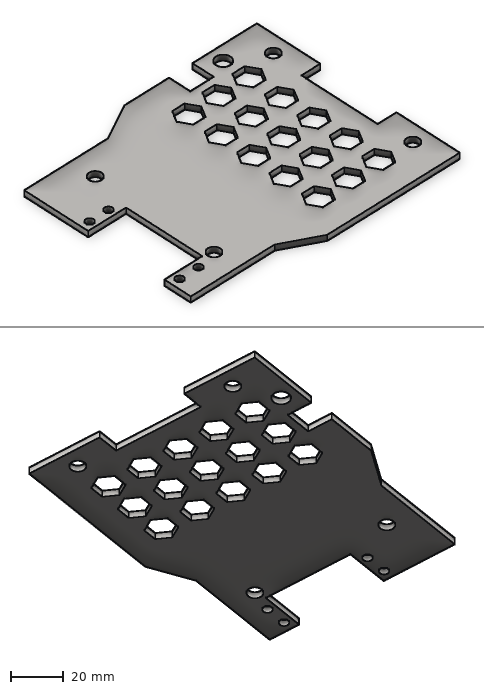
import cadquery as cq

length = 133.0
upper_width = 109.2
lower_width = 89.6
thickness = 3.0
taper_start_y = 44.4
taper_end_y = 62.8

notch_width = 41.0
top_notch_depth = 10.0
bottom_notch_depth = 20.1
bottom_notch_center_x = 10.1
side_notch_depth = 11.5
side_notch_bottom_y = 86.5
side_notch_top_y = 98.8

mount_diameter = 6.4
top_mount_spacing = 75.0
top_mount_y = 124.9
bottom_mount_spacing = 63.8
bottom_mount_y = 25.0
side_hole_diameter = 7.5
side_hole_center = (-47.5, 108.1)
pin_diameter = 4.0
pin_spacing_x = 48.4
pin_spacing_y = 10.0
pin_center_y = 9.5

hex_across_corners = 13.0
hex_sides = 6
hex_columns = 5
hex_rows = 3
hex_pitch_x = 17.4
hex_pitch_y = 16.0
hex_grid_center = (1.0, 92.5)


def plate_outline():
    """Wide rectangle tapering symmetrically to a narrower one."""
    right_side = [
        (lower_width / 2, 0),
        (lower_width / 2, taper_start_y),
        (upper_width / 2, taper_end_y),
        (upper_width / 2, length),
    ]
    left_side = [(-x, y) for x, y in reversed(right_side)]
    return cq.Workplane("XY").polyline(right_side + left_side).close().extrude(thickness)


def notch(x_min, x_max, y_min, y_max):
    """Rectangular cutter through the full thickness."""
    size_x = x_max - x_min
    size_y = y_max - y_min
    return cq.Workplane("XY").box(size_x, size_y, thickness, centered=False).translate((x_min, y_min, 0))


def round_holes(centers, diameter):
    """Cylindrical cutters through the full thickness."""
    return cq.Workplane("XY").pushPoints(centers).circle(diameter / 2).extrude(thickness)


def hex_openings():
    """Hexagonal cutters with corners pointing along Y."""
    grid = cq.Workplane("XY").center(*hex_grid_center).rarray(hex_pitch_x, hex_pitch_y, hex_columns, hex_rows)
    cell = cq.Sketch().regularPolygon(hex_across_corners / 2, hex_sides)
    return grid.placeSketch(cell).extrude(thickness)


result = plate_outline()

left_x = -upper_width / 2
bottom_notch_left_x = bottom_notch_center_x - notch_width / 2
bottom_notch_right_x = bottom_notch_center_x + notch_width / 2
result = result.cut(notch(-notch_width / 2, notch_width / 2, length - top_notch_depth, length))
result = result.cut(notch(bottom_notch_left_x, bottom_notch_right_x, 0, bottom_notch_depth))
result = result.cut(notch(left_x, left_x + side_notch_depth, side_notch_bottom_y, side_notch_top_y))

mount_centers = []
for side in (-1, 1):
    mount_centers.append((side * top_mount_spacing / 2, top_mount_y))
    mount_centers.append((side * bottom_mount_spacing / 2, bottom_mount_y))
result = result.cut(round_holes(mount_centers, mount_diameter))

result = result.cut(round_holes([side_hole_center], side_hole_diameter))

pin_centers = []
for side in (-1, 1):
    for end in (-1, 1):
        pin_x = bottom_notch_center_x + side * pin_spacing_x / 2
        pin_centers.append((pin_x, pin_center_y + end * pin_spacing_y / 2))
result = result.cut(round_holes(pin_centers, pin_diameter))

result = result.cut(hex_openings())